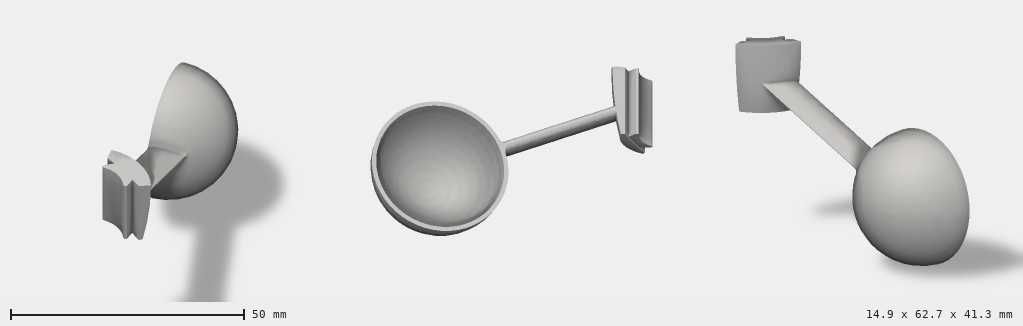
import cadquery as cq
import math

bowl_radius = 14.9
bowl_wall = 0.95
bowl_inner_radius = bowl_radius - bowl_wall
half_space_size = 62.7

handle_width = 8.0
handle_thickness = 2.5
handle_crest = 2.45
tail_thickness = 0.2
handle_tail_angle = 16.0
handle_rise_angle = 23.2
handle_length = 47.0
blend_radius = 1.0

ring_center_y = -50.2
ring_radius = 12.55
head_top = 26.4
head_height = 15.5
head_bottom = head_top - head_height
head_end_angle = 20.8
head_middle_angle = (90 + head_end_angle) / 2
half_sweep = (90 - head_end_angle) / 2
taper_inset = 1.8
shoulder_radius = 9.85
handle_socket_radius = 10.35

notch_radius = 8.9
notch_inset_angle = 13.5
notch_offset = half_sweep - notch_inset_angle
bore_radius = 6.65
tooth_outer_radius = 7.4
tooth_inner_radius = 6.8
tooth_corner_inset_angle = 4.6
tooth_corner_offset = half_sweep - tooth_corner_inset_angle
tongue_lift = 0.3


def ring_point(radius, offset):
    """Point of the head outline, at an angle from the middle of its sweep."""
    angle = math.radians(head_middle_angle + offset)
    return (radius * math.cos(angle), ring_center_y + radius * math.sin(angle))


def make_ball(radius):
    """Sphere at the origin whose seam runs along +Y, away from the handle."""
    seam_plane = cq.Plane(origin=(0, 0, 0), xDir=(0, 1, 0), normal=(1, 0, 0))
    return cq.Workplane(seam_plane).sphere(radius)


def make_handle():
    rise = math.radians(handle_rise_angle)
    section_plane = cq.Plane(
        origin=(0, 0, 0), xDir=(1, 0, 0), normal=(0, -math.cos(rise), math.sin(rise))
    )
    tail_angle = math.radians(handle_tail_angle)
    half_thickness = handle_thickness / 2
    nose = (0, 0)
    crest = (handle_crest, half_thickness)
    keel = (handle_crest, -half_thickness)
    tail_top = (handle_width, tail_thickness / 2)
    tail_bottom = (handle_width, -tail_thickness / 2)
    tail_slope = (-math.cos(tail_angle), math.sin(tail_angle))
    bottom_slope = (math.cos(tail_angle), math.sin(tail_angle))
    crest_slope = (-1, 0)
    keel_slope = (1, 0)
    nose_slope = (0, -1)
    bar = (
        cq.Workplane(section_plane)
        .moveTo(*tail_bottom)
        .lineTo(*tail_top)
        .spline([tail_top, crest, nose], tangents=[tail_slope, crest_slope, nose_slope])
        .spline([nose, keel, tail_bottom], tangents=[nose_slope, keel_slope, bottom_slope])
        .close()
        .extrude(handle_length)
    )
    socket = (
        cq.Workplane("XY", origin=(0, ring_center_y, head_bottom))
        .circle(handle_socket_radius)
        .extrude(head_height)
    )
    return bar.cut(socket)


def make_head():
    outline = (
        cq.Workplane("XY", origin=(0, 0, head_bottom))
        .moveTo(*ring_point(ring_radius, half_sweep))
        .threePointArc(ring_point(ring_radius, 0), ring_point(ring_radius, -half_sweep))
        .lineTo(*ring_point(shoulder_radius, -half_sweep))
        .lineTo(*ring_point(notch_radius, -notch_offset))
        .lineTo(*ring_point(notch_radius, notch_offset))
        .lineTo(*ring_point(shoulder_radius, half_sweep))
        .close()
        .extrude(head_height)
    )
    taper_radius = (head_height**2 + taper_inset**2) / (2 * taper_inset)
    mid_drop = head_height / 2
    mid_inset = taper_radius - math.sqrt(taper_radius**2 - mid_drop**2)
    tapered_body = (
        cq.Workplane("XZ", origin=(0, ring_center_y, 0))
        .moveTo(0, head_bottom)
        .lineTo(ring_radius - taper_inset, head_bottom)
        .threePointArc((ring_radius - mid_inset, head_top - mid_drop), (ring_radius, head_top))
        .lineTo(0, head_top)
        .close()
        .revolve(360, (0, 0), (0, 1))
    )
    tongue = (
        cq.Workplane("XY", origin=(0, 0, head_bottom + tongue_lift))
        .moveTo(*ring_point(notch_radius, notch_offset))
        .lineTo(*ring_point(tooth_outer_radius, half_sweep))
        .lineTo(*ring_point(tooth_inner_radius, half_sweep))
        .lineTo(*ring_point(bore_radius, tooth_corner_offset))
        .threePointArc(ring_point(bore_radius, 0), ring_point(bore_radius, -tooth_corner_offset))
        .lineTo(*ring_point(tooth_inner_radius, -half_sweep))
        .lineTo(*ring_point(tooth_outer_radius, -half_sweep))
        .lineTo(*ring_point(notch_radius, -notch_offset))
        .close()
        .extrude(head_height - tongue_lift)
    )
    return outline.intersect(tapered_body).union(tongue)


def is_bowl_joint(edge):
    """True for the edges where the handle meets the outside of the bowl."""
    joint_tolerance = 0.005
    samples = [edge.positionAt(t) for t in (0, 0.3, 0.5, 1)]
    on_bowl = all(abs(point.Length - bowl_radius) < joint_tolerance for point in samples)
    on_handle_side = all(point.y < -bowl_radius / 2 for point in samples)
    return on_bowl and on_handle_side


def make_scoop():
    """Bowl and handle, blended on a whole ball before the open half is removed."""
    body = make_ball(bowl_radius).union(make_handle())
    joint = [edge for edge in body.edges().vals() if is_bowl_joint(edge)]
    blended = body.newObject(joint).fillet(blend_radius)
    half_space = cq.Workplane("XY").box(
        half_space_size, 2 * half_space_size, 2 * half_space_size, centered=(False, True, True)
    )
    return blended.intersect(half_space).cut(make_ball(bowl_inner_radius))


result = make_scoop().union(make_head())